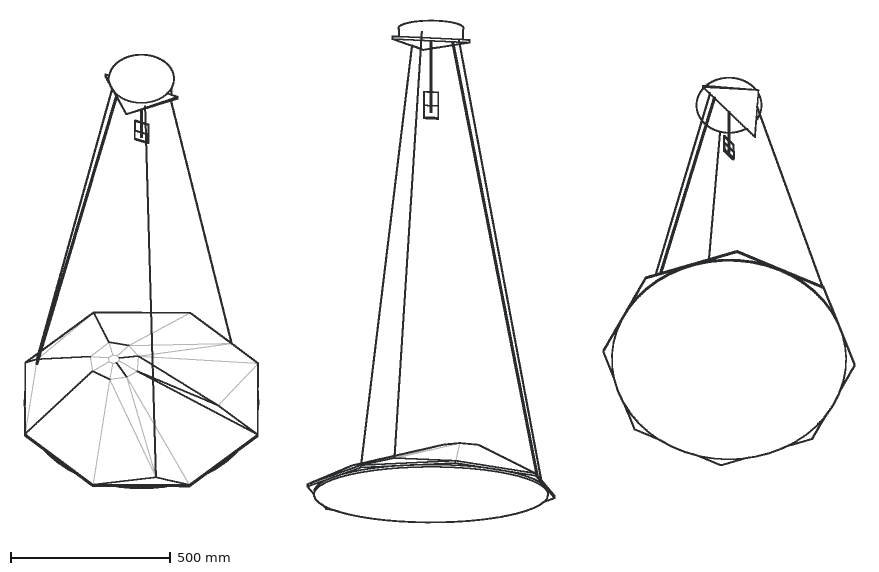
import cadquery as cq
import math

overall_height = 1510.0

rim_width = 793.0
rim_radius = rim_width / 2
rim_sides = 8
front_ridge = 0
back_ridge = 4
shade_bottom_z = 8.0
rim_top_z = 15.0
crown_x = -95.0
crown_radius = 18.0
crown_z = 160.0
shoulder_reach = 80.0
shoulder_z = 153.0
valley_shoulder_z = 137.0
knee = cq.Vector(255.0, 12.0, 80.0)

diffuser_radius = 368.0

canopy_radius = 103.0
canopy_bottom_z = 1478.0
plate_half_width = 124.0
plate_bottom_z = 1470.0

back_cable_angle = 180
side_cable_angle = 60
cable_radius = 0.8
cable_top_ring = 89.0
cable_foot_ring = 356.0
side_foot_z = 36.0
back_foot_z = 48.0

cord_radius = 2.3
cord_top = cq.Vector(-70.0, 0, plate_bottom_z)
cord_foot = cq.Vector(-350.0, -15.0, 45.0)

drop_cord_bottom_z = 1238.0
switch_width = 45.0
switch_thickness = 3.0
switch_top_z = 1303.0
switch_bottom_z = 1217.0
rocker_top_z = 1260.0
rocker_bottom_z = 1222.0
rocker_height = 2.0


def solid_from_faces(faces):
    return cq.Solid.makeSolid(cq.Shell.makeShell(faces))


def flat_face(points):
    return cq.Face.makeFromWires(cq.Wire.makePolygon(points, close=True))


def warped_panel(low_start, low_end, high_start, high_end):
    low = cq.Edge.makeLine(low_start, low_end)
    high = cq.Edge.makeLine(high_start, high_end)
    return cq.Face.makeRuledSurface(low, high)


def fan(centre, ring):
    return [flat_face([centre, ring[k], ring[k - 1]]) for k in range(len(ring))]


def rod(start, end, radius):
    axis = end - start
    return cq.Solid.makeCylinder(radius, axis.Length, start, axis)


def polar(radius, angle, z):
    turn = math.radians(angle)
    return cq.Vector(radius * math.cos(turn), radius * math.sin(turn), z)


def cable_foot(angle):
    foot_z = back_foot_z if angle == back_cable_angle else side_foot_z
    return polar(cable_foot_ring, angle, foot_z)


def make_cable(angle):
    return rod(cable_foot(angle), polar(cable_top_ring, angle, canopy_bottom_z), cable_radius)


def make_power_cord():
    return rod(cord_top, cord_foot, cord_radius)


def make_shade():
    ridge_angles = [360 / rim_sides * i for i in range(rim_sides)]
    rim = [polar(rim_radius, a, rim_top_z) for a in ridge_angles]
    base = [polar(rim_radius, a, shade_bottom_z) for a in ridge_angles]

    def ridge_point(ridge, reach, z):
        heading = cq.Vector(rim[ridge].x - crown_x, rim[ridge].y, 0).normalized()
        return cq.Vector(crown_x, 0, z) + heading * reach

    crown = [ridge_point(i, crown_radius, crown_z) for i in range(rim_sides)]
    shoulder = [ridge_point(i, shoulder_reach, shoulder_z) for i in range(rim_sides)]
    for i in (front_ridge, back_ridge):
        shoulder[i] = ridge_point(i, shoulder_reach, valley_shoulder_z)

    faces = [flat_face(crown), flat_face(base)]
    for i in range(rim_sides):
        faces.append(flat_face([rim[i - 1], base[i - 1], base[i], rim[i]]))
        faces.append(warped_panel(crown[i - 1], crown[i], shoulder[i - 1], shoulder[i]))

    for i, j in ((2, 3), (-3, -2), (-1, front_ridge)):
        faces.append(warped_panel(shoulder[i], shoulder[j], rim[i], rim[j]))

    faces += fan(knee, [shoulder[front_ridge], rim[front_ridge], rim[1], shoulder[1]])

    for i, j, angle in ((1, 2, side_cable_angle), (-1, -2, -side_cable_angle)):
        faces += fan(cable_foot(angle), [rim[i], rim[j], shoulder[j], shoulder[i]])

    back_foot = cable_foot(back_cable_angle)
    for i in (back_ridge - 1, back_ridge + 1):
        faces.append(warped_panel(shoulder[i], shoulder[back_ridge], rim[i], back_foot))
        faces.append(flat_face([back_foot, rim[back_ridge], rim[i]]))
    return solid_from_faces(faces)


def make_diffuser():
    return cq.Solid.makeCylinder(diffuser_radius, shade_bottom_z)


def make_canopy():
    left, right = -canopy_radius, canopy_radius
    bottom = cq.Edge.makeLine(cq.Vector(left, 0, canopy_bottom_z), cq.Vector(right, 0, canopy_bottom_z))
    arcs = [
        cq.Edge.makeThreePointArc(
            cq.Vector(left, 0, overall_height),
            cq.Vector(0, side * canopy_radius, overall_height),
            cq.Vector(right, 0, overall_height),
        )
        for side in (1, -1)
    ]
    walls = [cq.Face.makeRuledSurface(arc, bottom) for arc in arcs]
    top = cq.Face.makeFromWires(cq.Wire.assembleEdges(arcs))
    return solid_from_faces(walls + [top])


def make_plate():
    w = plate_half_width
    low = [cq.Vector(-w, 0, plate_bottom_z), cq.Vector(w, 0, plate_bottom_z)]
    high = [cq.Vector(-w, 0, canopy_bottom_z), cq.Vector(w, 0, canopy_bottom_z)]
    tip = cq.Vector(0, -w, plate_bottom_z)
    return solid_from_faces([
        flat_face([low[0], low[1], tip]),
        flat_face([high[0], high[1], tip]),
        flat_face([low[0], low[1], high[1], high[0]]),
        flat_face([low[0], high[0], tip]),
        flat_face([low[1], high[1], tip]),
    ])


def make_drop_cord():
    return rod(cq.Vector(0, 0, plate_bottom_z), cq.Vector(0, 0, drop_cord_bottom_z), cord_radius)


def make_switch():
    left = -switch_width / 2
    body = cq.Solid.makeBox(
        switch_width, switch_thickness, switch_top_z - switch_bottom_z,
        cq.Vector(left, 0, switch_bottom_z),
    )
    rocker = cq.Solid.makeBox(
        switch_width, rocker_height, rocker_top_z - rocker_bottom_z,
        cq.Vector(left, -rocker_height, rocker_bottom_z),
    )
    return body.fuse(rocker)


cables = [make_cable(angle) for angle in (back_cable_angle, side_cable_angle, -side_cable_angle)]
power_cord = make_power_cord()
drop_cord = make_drop_cord()
canopy = make_canopy()
plate = make_plate().cut(*cables, power_cord).Solids()[0]
switch = make_switch().cut(drop_cord).Solids()[0]
shade = make_shade().cut(*cables, power_cord).Solids()[0]
diffuser = make_diffuser()

result = cq.Compound.makeCompound(
    [canopy, plate, *cables, power_cord, drop_cord, switch, shade, diffuser]
)